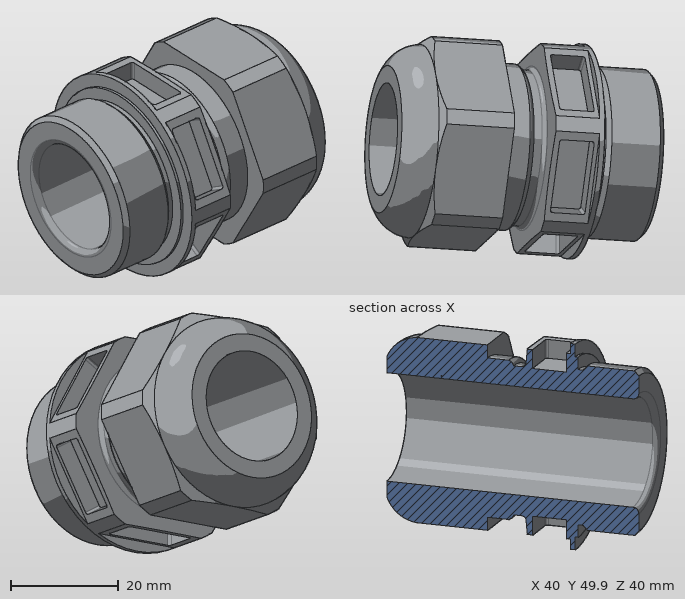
import cadquery as cq
import math


total_length = 49.9
flange_radius = 20.0
across_flats = 36.05
flat_count = 6

thread_radius = 16.0
thread_chamfer = 0.9
thread_start = 10.2
undercut_radius = 15.1
undercut_chamfer = thread_radius - undercut_radius

washer_radius = 17.5
washer_start = 12.05
flange_start = 12.55
flange_end = 13.55

body_hex_crown = 22.4
body_hex_corner = 21.95

groove_radius = 14.5
groove_fillet = 0.8
groove_foot_radius = groove_radius + groove_fillet
groove_start = body_hex_crown + groove_fillet
groove_end = 24.75
neck_radius = 15.5
neck_start = 25.75
neck_edge_bulge = 0.15

cap_hex_start = 29.95
cap_hex_corner = 42.9
dome_start = 43.9
dome_base_radius = across_flats / 2
dome_top_radius = 13.7
dome_bulge = 1.05

bore_radius = 10.5
mouth_fillet = 1.15

pocket_length = 14.1
pocket_start = 14.35
pocket_end = 21.0
pocket_depth = 3.65
pocket_corner_radius = 0.5


def revolve_profile(profile):
    """Revolve a closed (radius, Y) profile around the Y axis."""
    return profile.close().revolve(360, (0, 0, 0), (0, 1, 0))


def hexagon(start, end):
    """Hexagonal prism along Y with flats facing +Z and -Z."""
    across_corners = across_flats / math.cos(math.pi / flat_count)
    base = cq.Workplane("XZ", origin=(0, start, 0))
    return base.polygon(flat_count, across_corners).extrude(start - end)


def core():
    """Round body: thread, undercut, washer, flange and neck."""
    return revolve_profile(
        cq.Workplane("XY")
        .moveTo(0, 0)
        .lineTo(thread_radius - thread_chamfer, 0)
        .lineTo(thread_radius, thread_chamfer)
        .lineTo(thread_radius, thread_start)
        .lineTo(undercut_radius, thread_start + undercut_chamfer)
        .lineTo(undercut_radius, washer_start)
        .lineTo(washer_radius, washer_start)
        .lineTo(washer_radius, flange_start)
        .lineTo(flange_radius, flange_start)
        .lineTo(flange_radius, flange_end)
        .lineTo(groove_foot_radius, flange_end)
        .lineTo(groove_foot_radius, body_hex_crown)
        .radiusArc((groove_radius, groove_start), groove_fillet)
        .lineTo(groove_radius, groove_end)
        .sagittaArc((neck_radius, neck_start), -neck_edge_bulge)
        .lineTo(neck_radius, cap_hex_start)
        .lineTo(0, cap_hex_start)
    )


def body_hex():
    """Body hexagon with rounded corners and a shallow conical end face."""
    envelope = revolve_profile(
        cq.Workplane("XY")
        .moveTo(0, flange_end)
        .lineTo(flange_radius, flange_end)
        .lineTo(flange_radius, body_hex_corner)
        .lineTo(groove_foot_radius, body_hex_crown)
        .lineTo(0, body_hex_crown)
    )
    return hexagon(flange_end, body_hex_crown).intersect(envelope)


def cap():
    """Cap hexagon with rounded corners, conical shoulder and dome."""
    envelope = revolve_profile(
        cq.Workplane("XY")
        .moveTo(0, cap_hex_start)
        .lineTo(flange_radius, cap_hex_start)
        .lineTo(flange_radius, cap_hex_corner)
        .lineTo(dome_base_radius, dome_start)
        .lineTo(0, dome_start)
    )
    dome = revolve_profile(
        cq.Workplane("XY")
        .moveTo(0, dome_start)
        .lineTo(dome_base_radius, dome_start)
        .sagittaArc((dome_top_radius, total_length), -dome_bulge)
        .lineTo(0, total_length)
    )
    return hexagon(cap_hex_start, dome_start).intersect(envelope).union(dome)


def pocket(angle):
    """Rounded rectangular pocket cutter for the flat facing the given angle."""
    floor = across_flats / 2 - pocket_depth
    middle = (pocket_start + pocket_end) / 2
    return (
        cq.Workplane("XY", origin=(0, middle, floor))
        .rect(pocket_length, pocket_end - pocket_start)
        .extrude(2 * pocket_depth)
        .edges("|Z")
        .fillet(pocket_corner_radius)
        .rotate((0, 0, 0), (0, 1, 0), angle)
    )


def bore():
    """Through bore cutter with a rounded mouth at the threaded end."""
    arc_middle = mouth_fillet * (1 - math.sqrt(0.5))
    return revolve_profile(
        cq.Workplane("XY")
        .moveTo(0, 0)
        .lineTo(bore_radius + mouth_fillet, 0)
        .threePointArc(
            (bore_radius + arc_middle, arc_middle),
            (bore_radius, mouth_fillet),
        )
        .lineTo(bore_radius, total_length)
        .lineTo(0, total_length)
    )


result = core().union(body_hex()).union(cap())
for flat in range(flat_count):
    result = result.cut(pocket(flat * 360 / flat_count))
result = result.cut(bore())